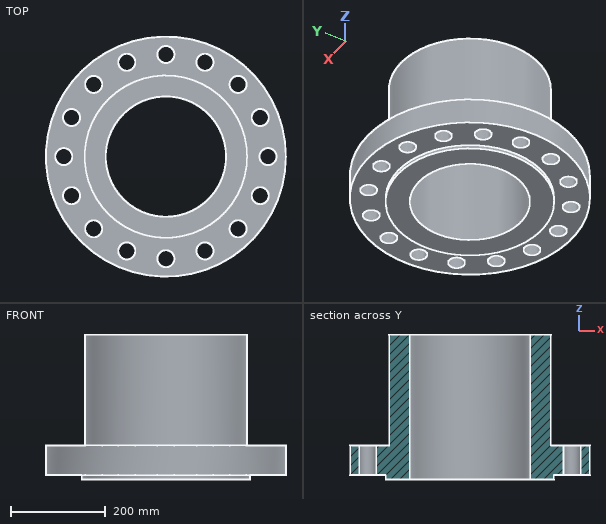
import cadquery as cq

flange_diameter = 508.0
total_height = 306.0

flange_thickness = 63.0
face_diameter = 356.5
face_height = 9.0

neck_diameter = 343.5
neck_height = total_height - face_height - flange_thickness
bore_diameter = 254.0

bolt_count = 16
bolt_circle_diameter = 431.5
bolt_hole_diameter = 35.5


def disc(diameter, height, base_z):
    """Solid cylinder on the Z axis, standing on the level base_z."""
    return cq.Workplane("XY").workplane(offset=base_z).circle(diameter / 2).extrude(height)


def bolt_holes():
    """Ring of equally spaced cylinders that pass through the flange."""
    return (
        cq.Workplane("XY")
        .workplane(offset=face_height)
        .polarArray(bolt_circle_diameter / 2, 0, 360, bolt_count)
        .circle(bolt_hole_diameter / 2)
        .extrude(flange_thickness)
    )


raised_face = disc(face_diameter, face_height, 0)
flange = disc(flange_diameter, flange_thickness, face_height)
neck = disc(neck_diameter, neck_height, face_height + flange_thickness)
bore = disc(bore_diameter, total_height, 0)

result = raised_face.union(flange).union(neck).cut(bore).cut(bolt_holes())